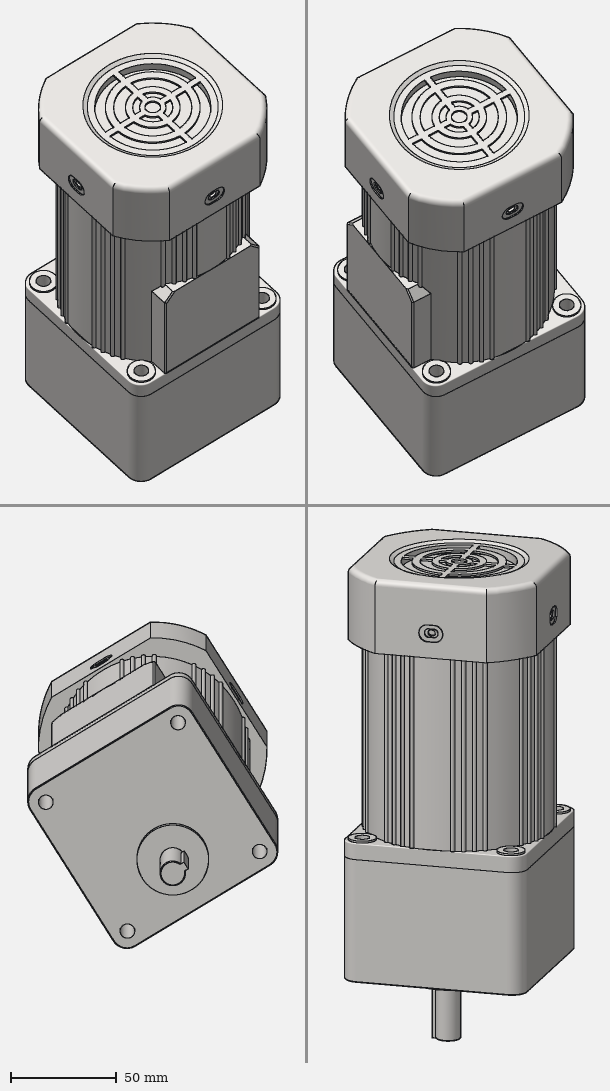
import cadquery as cq
import math


body_width = 90.0
body_corner_radius = 7.6
gearbox_height = 60.5
bottom_chamfer = 0.5
shaft_offset = 18.0
shaft_diameter = 12.0
shaft_length = 31.6
shaft_chamfer = 0.5
pilot_diameter = 34.0
pilot_height = 3.2
key_width = 4.0
key_length = 25.0
key_standout = 1.5

bolt_offset = 36.7
bolt_hole_diameter = 7.0
bolt_pad_diameter = 13.5
bolt_pad_height = 1.0

flange_thickness = 7.9
flange_fillet = 0.5
barrel_radius = body_width / 2
barrel_height = 95.0
rib_radius = 1.05
rib_pitch_angle = 6.6
first_rib_angle = 12.9
ribs_per_side = 4
box_width = 57.5
box_height = 54.5
box_end_chamfer = 4.9
box_edge_chamfer = 0.7

cover_width = 93.0
cover_flat_width = 55.0
cover_height = 36.0
cover_fillet = 3.0
dish_radius = 33.0
dish_floor_radius = 31.0
dish_depth = 1.2
grille_thickness = 1.0
grille_rings = [(6.2, 9.5), (13.0, 18.5), (22.5, 27.5)]
grille_bar_width = 3.2
grille_hole_radius = 3.7
cavity_depth = 3.2
port_height = 12.0
port_length = 11.8
port_width = 8.3
port_depth = 0.7
port_step_length = 6.7
port_step_width = 4.2
port_step_depth = 1.5
port_hole_length = 3.7
port_hole_width = 2.8
port_hole_depth = 2.8

bolt_points = [(x, y) for x in (-bolt_offset, bolt_offset) for y in (-bolt_offset, bolt_offset)]
flange_top = gearbox_height + flange_thickness
cover_bottom = flange_top + barrel_height
cover_top = cover_bottom + cover_height
dish_floor = cover_top - dish_depth
cavity_radius = grille_rings[-1][1]
quarter_angles = (0, 90, 180, 270)


def square_block(bottom, height):
    """Square block with rounded corners, shared by the gearbox and the motor flange."""
    block = cq.Workplane("XY").workplane(offset=bottom).rect(body_width, body_width).extrude(height)
    return block.edges("|Z").fillet(body_corner_radius)


def bolt_cylinders(diameter, bottom, height):
    """One cylinder at each of the four mounting points."""
    plane = cq.Workplane("XY").workplane(offset=bottom)
    return plane.pushPoints(bolt_points).circle(diameter / 2).extrude(height)


def make_gearbox():
    """Gear housing with pilot boss and keyed output shaft."""
    housing = square_block(0, gearbox_height).faces("<Z").chamfer(bottom_chamfer)
    housing = housing.cut(bolt_cylinders(bolt_hole_diameter, 0, gearbox_height))

    below = cq.Workplane("XY").center(-shaft_offset, 0)
    pilot = below.circle(pilot_diameter / 2).extrude(-pilot_height)
    shaft = below.circle(shaft_diameter / 2).extrude(-shaft_length).faces("<Z").chamfer(shaft_chamfer)

    key_reach = shaft_diameter / 2 + key_standout
    key_straight = key_length - key_width / 2
    key = (
        cq.Workplane("XZ", origin=(-shaft_offset, 0, -shaft_length))
        .moveTo(-key_width / 2, 0)
        .lineTo(-key_width / 2, key_straight)
        .threePointArc((0, key_length), (key_width / 2, key_straight))
        .lineTo(key_width / 2, 0)
        .close()
        .extrude(-key_reach)
    )
    return housing.union(pilot).union(shaft).union(key)


def make_ribs():
    """Vertical half-round ribs, a group on each side of every quarter line of the barrel."""
    rib_points = []
    for quarter_angle in quarter_angles:
        for side in (-1, 1):
            for index in range(ribs_per_side):
                angle = math.radians(quarter_angle + side * (first_rib_angle + index * rib_pitch_angle))
                rib_points.append((barrel_radius * math.cos(angle), barrel_radius * math.sin(angle)))
    plane = cq.Workplane("XY").workplane(offset=flange_top)
    return plane.pushPoints(rib_points).circle(rib_radius).extrude(barrel_height)


def make_terminal_box():
    """Connection box on the +X side of the barrel."""
    box = (
        cq.Workplane("XY")
        .workplane(offset=flange_top)
        .center(body_width / 4, 0)
        .rect(body_width / 2, box_width)
        .extrude(box_height)
    )
    box = box.edges("|X and >Z").chamfer(box_end_chamfer)
    return box.faces(">X").edges("not (<Z or >Z)").chamfer(box_edge_chamfer)


def make_motor():
    """Square flange, ribbed barrel and terminal box."""
    flange = square_block(gearbox_height, flange_thickness).faces(">Z").edges().fillet(flange_fillet)
    pad_height = flange_thickness + bolt_pad_height
    flange = flange.union(bolt_cylinders(bolt_pad_diameter, gearbox_height, pad_height))
    flange = flange.cut(bolt_cylinders(bolt_hole_diameter, gearbox_height, pad_height))
    barrel = cq.Workplane("XY").workplane(offset=flange_top).circle(barrel_radius).extrude(barrel_height)
    return flange.union(barrel).union(make_ribs()).union(make_terminal_box())


def make_cover_block():
    """Square block whose corners are wide arcs about the housing axis."""
    half = cover_width / 2
    flat = cover_flat_width / 2
    bulge = math.hypot(half, flat) / math.sqrt(2)
    return (
        cq.Workplane("XY")
        .workplane(offset=cover_bottom)
        .moveTo(half, -flat)
        .lineTo(half, flat)
        .threePointArc((bulge, bulge), (flat, half))
        .lineTo(-flat, half)
        .threePointArc((-bulge, bulge), (-half, flat))
        .lineTo(-half, -flat)
        .threePointArc((-bulge, -bulge), (-flat, -half))
        .lineTo(flat, -half)
        .threePointArc((bulge, -bulge), (half, -flat))
        .close()
        .extrude(cover_height)
        .faces(">Z")
        .edges()
        .fillet(cover_fillet)
    )


def make_grille_openings():
    """Central hole and rings of arc slots, the rings interrupted by a cross of bars."""
    plane = cq.Workplane("XY").workplane(offset=dish_floor)
    bars = plane.rect(cover_width, grille_bar_width).extrude(-grille_thickness)
    bars = bars.union(plane.rect(grille_bar_width, cover_width).extrude(-grille_thickness))
    openings = plane.circle(grille_hole_radius).extrude(-grille_thickness)
    for inner_radius, outer_radius in grille_rings:
        ring = plane.circle(outer_radius).circle(inner_radius).extrude(-grille_thickness)
        openings = openings.union(ring.cut(bars))
    return openings


def make_port():
    """Oblong stepped opening in the -Y wall, narrower at each step inward."""
    wall = cq.Workplane("XZ", origin=(0, -cover_width / 2, cover_bottom + port_height))
    recess = wall.slot2D(port_length, port_width).extrude(-port_depth)
    step = wall.slot2D(port_step_length, port_step_width).extrude(-port_step_depth)
    hole = wall.slot2D(port_hole_length, port_hole_width).extrude(-port_hole_depth)
    return recess.union(step).union(hole)


def make_cover():
    """Cover with a dished grille over a shallow cavity and a port in each wall."""
    cavity_top = dish_floor - grille_thickness
    cavity = cq.Workplane("XY").workplane(offset=cavity_top).circle(cavity_radius).extrude(-cavity_depth)
    dish = (
        cq.Workplane("XY")
        .workplane(offset=dish_floor)
        .circle(dish_floor_radius)
        .workplane(offset=dish_depth)
        .circle(dish_radius)
        .loft()
    )
    cover = make_cover_block().cut(cavity).cut(dish).cut(make_grille_openings())
    port = make_port()
    for angle in quarter_angles:
        cover = cover.cut(port.rotate((0, 0, 0), (0, 0, 1), angle))
    return cover


gearbox = make_gearbox()
motor = make_motor()
cover = make_cover()

result = cq.Compound.makeCompound([gearbox.val(), motor.val(), cover.val()])